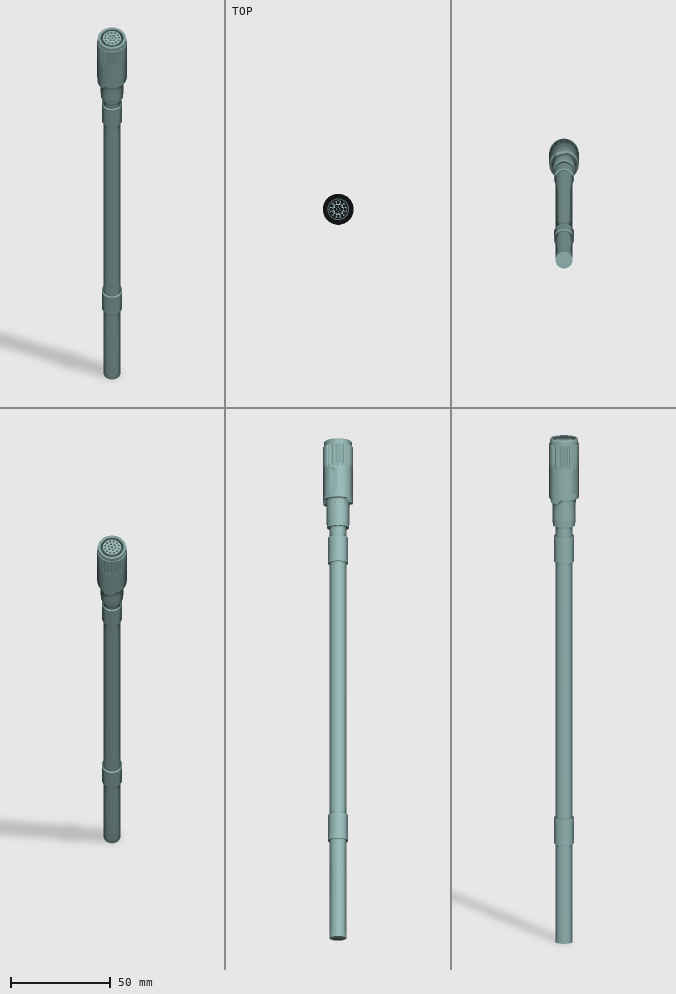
import cadquery as cq
import math

total_length = 258.2
barrel_width = 14.8
width_over_ribs = 15.01

top_z = total_length
knurl_top_z = top_z - 2.8
short_groove_bottom_z = top_z - 12.8
knurl_bottom_z = top_z - 14.4
barrel_bottom_z = top_z - 30.5
tab_bottom_z = top_z - 32.5
collar_bottom_z = top_z - 33.0
backshell_taper_z = top_z - 41.2
backshell_bottom_z = top_z - 44.8
upper_sleeve_top_z = top_z - 50.0
upper_sleeve_bottom_z = top_z - 63.2
lower_sleeve_top_z = top_z - 194.3
lower_sleeve_bottom_z = top_z - 207.5
jacket_end_z = top_z - 222.4

barrel_radius = barrel_width / 2
rim_radius = 7.0
rim_chamfer = 0.5
collar_radius = 5.9
backshell_radius = 5.8
backshell_end_radius = 5.5
sleeve_radius = 5.1
cable_radius = 4.3
cable_end_radius = 4.25

socket_radius = 5.7
insert_radius = 4.6
socket_depth = 3.0
insert_recess = 0.3
contact_diameter = 1.0
contact_depth = 2.5
contact_rings = ((1.7, 6), (3.5, 12))

groove_count = 48
groove_width = 0.5
groove_depth = 0.3

rib_width = 1.5
rib_top_z = knurl_bottom_z - 0.6
tab_top_width = 7.0
tab_bottom_width = 4.0

recess_width = 3.8
recess_top_z = top_z - 15.6
recess_bottom_z = top_z - 27.2
recess_depth = 0.4


def make_body():
    """Cable, sleeves, backshell, barrel and annular socket as one turned profile."""
    profile = [
        (0, 0),
        (cable_end_radius, 0),
        (cable_end_radius, jacket_end_z),
        (cable_radius, jacket_end_z),
        (cable_radius, lower_sleeve_bottom_z),
        (sleeve_radius, lower_sleeve_bottom_z),
        (sleeve_radius, lower_sleeve_top_z),
        (cable_radius, lower_sleeve_top_z),
        (cable_radius, upper_sleeve_bottom_z),
        (sleeve_radius, upper_sleeve_bottom_z),
        (sleeve_radius, upper_sleeve_top_z),
        (cable_radius, upper_sleeve_top_z),
        (cable_radius, backshell_bottom_z),
        (backshell_end_radius, backshell_bottom_z),
        (backshell_radius, backshell_taper_z),
        (backshell_radius, collar_bottom_z),
        (collar_radius, collar_bottom_z),
        (collar_radius, barrel_bottom_z),
        (barrel_radius, barrel_bottom_z),
        (barrel_radius, knurl_top_z),
        (rim_radius, knurl_top_z),
        (rim_radius, top_z - rim_chamfer),
        (rim_radius - rim_chamfer, top_z),
        (socket_radius + rim_chamfer, top_z),
        (socket_radius, top_z - rim_chamfer),
        (socket_radius, top_z - socket_depth),
        (insert_radius, top_z - socket_depth),
        (insert_radius, top_z - insert_recess),
        (0, top_z - insert_recess),
    ]
    return cq.Workplane("XZ").polyline(profile).close().revolve(360, (0, 0, 0), (0, 1, 0))


def make_knurl_grooves():
    """Straight V grooves spaced evenly around the grip, alternately long and short."""
    inner = barrel_radius - groove_depth
    outer = barrel_radius + groove_depth
    section = [(inner, 0), (outer, groove_width), (outer, -groove_width)]
    grooves = []
    for index in range(groove_count):
        bottom_z = knurl_bottom_z if index % 2 == 0 else short_groove_bottom_z
        groove = cq.Workplane("XY").workplane(offset=bottom_z).polyline(section).close()
        groove = groove.extrude(knurl_top_z - bottom_z)
        angle = 360 * (index + 0.5) / groove_count
        grooves.append(groove.rotate((0, 0, 0), (0, 0, 1), angle).val())
    return cq.Workplane(obj=cq.Compound.makeCompound(grooves))


def make_contact_holes():
    """Blind contact holes on concentric rings around a centre contact."""
    points = [(0, 0)]
    for radius, count in contact_rings:
        for index in range(count):
            angle = 2 * math.pi * index / count
            points.append((radius * math.cos(angle), radius * math.sin(angle)))
    face = cq.Workplane("XY").workplane(offset=top_z - insert_recess)
    return face.pushPoints(points).circle(contact_diameter / 2).extrude(-contact_depth)


def make_tabs():
    """Curved tabs that continue the barrel wall below its lower edge on the +Y and -Y sides."""
    outline = [
        (-tab_bottom_width / 2, tab_bottom_z),
        (tab_bottom_width / 2, tab_bottom_z),
        (tab_top_width / 2, barrel_bottom_z),
        (-tab_top_width / 2, barrel_bottom_z),
    ]
    slab = cq.Workplane("XZ").polyline(outline).close().extrude(2 * barrel_radius, both=True)
    cylinder = cq.Workplane("XY").circle(barrel_radius).extrude(total_length)
    return slab.intersect(cylinder)


def make_ribs():
    """One bar through the axis whose ends stand out as vertical ribs on the +Y and -Y sides."""
    height = rib_top_z - tab_bottom_z
    bar = cq.Workplane("XY").box(rib_width, width_over_ribs, height, centered=(True, True, False))
    return bar.translate((0, 0, tab_bottom_z))


def make_marking_recess():
    """Shallow rectangular recess with a flat floor on the -X side."""
    height = recess_top_z - recess_bottom_z
    block = cq.Workplane("XY").box(2 * recess_depth, recess_width, height)
    return block.translate((-barrel_radius, 0, (recess_top_z + recess_bottom_z) / 2))


result = (
    make_body()
    .union(make_tabs())
    .union(make_ribs())
    .cut(make_knurl_grooves())
    .cut(make_contact_holes())
    .cut(make_marking_recess())
)